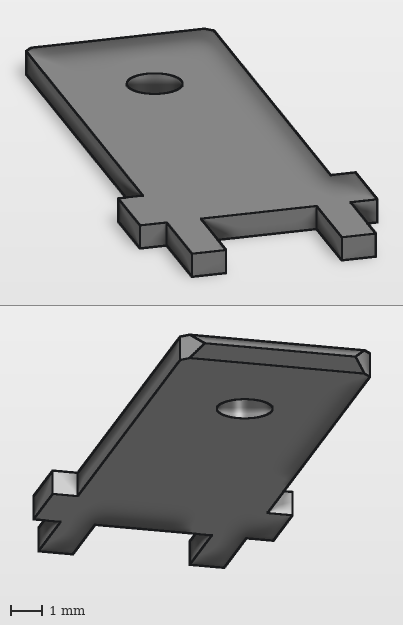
import cadquery as cq

length = 18.99
thickness = 0.8
blade_width = 6.27

shoulder_width = 7.92
shoulder_start = 13.71
shoulder_end = 16.16

pin_width = 1.14
pin_spacing = 5.0

corner_chamfer = 0.65
bevel_length = thickness / 2
hole_diameter = 1.79
hole_x = 4.52


def plate(start_x, end_x, width, center_y=0):
    """Full-thickness rectangular plate centred on the mid-plane."""
    return (
        cq.Workplane("XY")
        .box(end_x - start_x, width, thickness)
        .translate(((start_x + end_x) / 2, center_y, 0))
    )


blade = plate(0, shoulder_end, blade_width)
blade = blade.edges("|Z and <X").chamfer(corner_chamfer)

tip_profile = (
    cq.Workplane("XZ")
    .moveTo(0, 0)
    .lineTo(bevel_length, thickness / 2)
    .lineTo(length, thickness / 2)
    .lineTo(length, -thickness / 2)
    .lineTo(bevel_length, -thickness / 2)
    .close()
    .extrude(blade_width / 2, both=True)
)
blade = blade.intersect(tip_profile)

hole = (
    cq.Workplane("XY")
    .workplane(offset=-thickness / 2)
    .center(hole_x, 0)
    .circle(hole_diameter / 2)
    .extrude(thickness)
)
blade = blade.cut(hole)

result = blade.union(plate(shoulder_start, shoulder_end, shoulder_width))
for side in (-1, 1):
    pin = plate(shoulder_start, length, pin_width, side * pin_spacing / 2)
    result = result.union(pin)